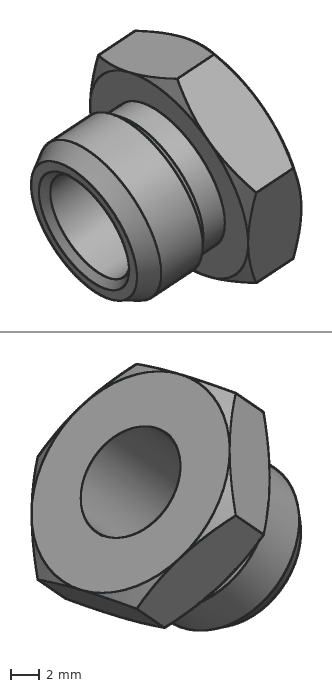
import cadquery as cq
import math

across_corners = 19.63
total_length = 13.0
head_thickness = 5.0
neck_length = 2.0
neck_diameter = 12.0
body_diameter = 13.15
tip_chamfer_length = 1.51
bore_diameter = 8.55
bore_chamfer = 0.57
chamfer_slope = math.tan(math.radians(30))

across_flats = across_corners * math.cos(math.radians(30))
corner_radius = across_corners / 2
flat_radius = across_flats / 2
corner_drop = (corner_radius - flat_radius) * chamfer_slope
neck_radius = neck_diameter / 2
body_radius = body_diameter / 2
tip_radius = body_radius - tip_chamfer_length * chamfer_slope
bore_radius = bore_diameter / 2

head_end = -head_thickness
neck_end = head_end - neck_length
body_start = neck_end - (body_radius - neck_radius)
tip_end = -total_length
body_end = tip_end + tip_chamfer_length


def revolve_about_y(points):
    """Revolve a closed (radius, Y) outline about the Y axis."""
    return cq.Workplane("XY").polyline(points).close().revolve(360, (0, 0, 0), (0, 1, 0))


def make_head():
    """Hexagon with corners on Z, its corners bevelled on both faces."""
    prism = (
        cq.Workplane("XZ")
        .polygon(6, across_corners)
        .extrude(head_thickness)
        .rotate((0, 0, 0), (0, 1, 0), 90)
    )
    bevel_envelope = revolve_about_y([
        (0, 0),
        (flat_radius, 0),
        (corner_radius, -corner_drop),
        (corner_radius, head_end + corner_drop),
        (flat_radius, head_end),
        (0, head_end),
    ])
    return prism.intersect(bevel_envelope)


def make_shank():
    """Undercut neck and full-diameter body with a tapered tip."""
    return revolve_about_y([
        (0, head_end),
        (neck_radius, head_end),
        (neck_radius, neck_end),
        (body_radius, body_start),
        (body_radius, body_end),
        (tip_radius, tip_end),
        (0, tip_end),
    ])


def make_bore():
    """Through bore with a 45 degree chamfer at the tip."""
    return revolve_about_y([
        (0, 0),
        (bore_radius, 0),
        (bore_radius, tip_end + bore_chamfer),
        (bore_radius + bore_chamfer, tip_end),
        (0, tip_end),
    ])


result = make_head().union(make_shank()).cut(make_bore())